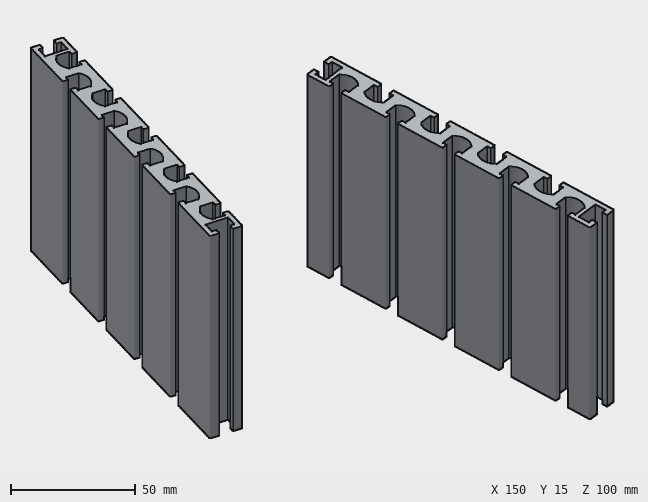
import cadquery as cq

WIDTH = 150.0
THICKNESS = 15.0
LENGTH = 100.0
CORNER_RADIUS = 0.5

MOUTH_WIDTH = 6.3
LIP_THICKNESS = 2.5

SLOT_PITCH = 30.0
SHOULDER_DEPTH = 8.4
FLOOR_DEPTH = 10.5
MOUTH_RADIUS = 0.22
FACE_CHAMBER_WIDTH = 10.2
BACK_SLOT_COUNT = 5
FRONT_SLOT_COUNT = 4

EDGE_SLOT_DEPTH = 8.0
EDGE_CHAMBER_WIDTH = 10.4


def t_slot(chamber_width, shoulder_depth, floor_depth):
    """T-slot cutter opening toward +Y at the origin, arched when the floor lies below the shoulders."""
    mouth = MOUTH_WIDTH / 2
    chamber = chamber_width / 2
    outline = (
        cq.Workplane("XY")
        .moveTo(-mouth, 0)
        .lineTo(-mouth, -LIP_THICKNESS)
        .lineTo(-chamber, -LIP_THICKNESS)
        .lineTo(-chamber, -shoulder_depth)
    )
    if floor_depth > shoulder_depth:
        outline = outline.threePointArc((0, -floor_depth), (chamber, -shoulder_depth))
    else:
        outline = outline.lineTo(chamber, -shoulder_depth)
    outline = (
        outline.lineTo(chamber, -LIP_THICKNESS)
        .lineTo(mouth, -LIP_THICKNESS)
        .lineTo(mouth, 0)
        .close()
    )
    return outline.extrude(LENGTH)


def place(cutter, turn, x, y):
    """Turn a cutter about the Z axis, then move its mouth to (x, y)."""
    return cutter.rotate((0, 0, 0), (0, 0, 1), turn).translate((x, y, 0))


def row_positions(count):
    """X positions of a row of slots centred on the plate."""
    return [(i - (count - 1) / 2) * SLOT_PITCH for i in range(count)]


def round_edge(body, x, y):
    """Round the lengthwise edge of a face slot mouth that passes through (x, y)."""
    edge = cq.selectors.NearestToPointSelector((x, y, LENGTH / 2))
    return body.edges(edge).fillet(MOUTH_RADIUS)


result = (
    cq.Workplane("XY")
    .box(WIDTH, THICKNESS, LENGTH, centered=(True, True, False))
    .edges("|Z")
    .fillet(CORNER_RADIUS)
)

face_slot = t_slot(FACE_CHAMBER_WIDTH, SHOULDER_DEPTH, FLOOR_DEPTH)
for count, y, turn in [(BACK_SLOT_COUNT, THICKNESS / 2, 0), (FRONT_SLOT_COUNT, -THICKNESS / 2, 180)]:
    for x in row_positions(count):
        result = result.cut(place(face_slot, turn, x, y))
        for mouth_edge_x in (x - MOUTH_WIDTH / 2, x + MOUTH_WIDTH / 2):
            result = round_edge(result, mouth_edge_x, y)

edge_slot = t_slot(EDGE_CHAMBER_WIDTH, EDGE_SLOT_DEPTH, EDGE_SLOT_DEPTH)
result = result.cut(place(edge_slot, 90, -WIDTH / 2, 0))
result = result.cut(place(edge_slot, -90, WIDTH / 2, 0))